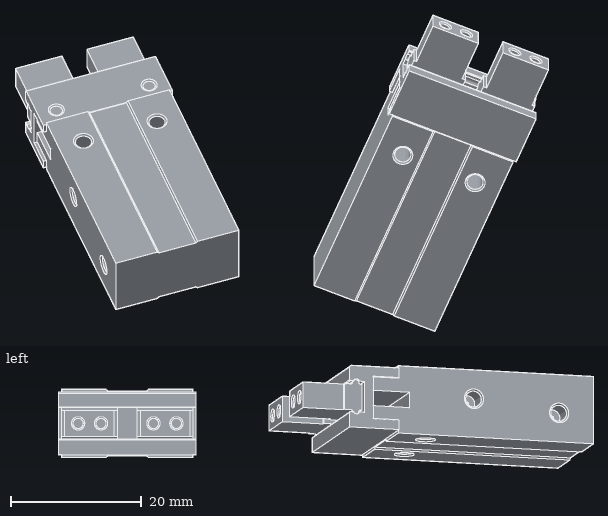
import cadquery as cq
import math


LENGTH = 46.0
BODY_FRONT = 15.0
BODY_WIDTH = 20.0
BODY_HEIGHT = 10.5

CHANNEL_HALF_WIDTH = 3.25
CHANNEL_DEPTH = 0.28

TONGUE_FRONT = 10.9
TONGUE_HEIGHT = 6.6
SLOT_END = 16.8
SLOT_HEIGHT = 2.4

GUIDE_FRONT = 7.15
GUIDE_WIDTH = 21.0
GUIDE_HEIGHT = 9.6
GUIDE_CHAMFER = 0.28
POCKET_BACK = 9.5
POCKET_HEIGHT = 4.8
LIP_CHAMFER = 0.15

BEAD_X = 8.25
BEAD_RADIUS = 0.5
BEAD_CENTER_Z = 2.2

DIMPLE_X = 12.65
DIMPLE_Y = 7.55
DIMPLE_DIAMETER = 2.45
DIMPLE_FLOOR_DIAMETER = 1.9
DIMPLE_DEPTH = 0.2

THREAD_DIAMETER = 2.5
THREAD_CHAMFER = 0.28
MOUNT_X = 20.45
MOUNT_Y = 6.0
PORTS = [(27.0, 0.75), (40.53, -0.75)]
PORT_DEPTH = 4.0
ORIFICE_DIAMETER = 0.5
ORIFICE_LENGTH = 1.85

FINGER_HEIGHT = 4.0
FINGER_INNER_Y = 2.02
FINGER_OUTER_Y = 9.55
SLIDE_INNER_Y = 1.45
SLIDE_OUTER_Y = BODY_WIDTH / 2
SLIDE_FRONT = 6.45
SLIDE_BACK = 9.2
BEAD_BLEND_RADIUS = 0.3
FINGER_HOLE_DIAMETER = 1.55
FINGER_HOLE_CHAMFER = 0.25
FINGER_HOLE_DEPTH = 4.6
FINGER_HOLE_SPACING = 3.5
FINGER_HOLE_MIDDLE_Y = 5.75


def block(x_start, x_end, y_start, y_end, height):
    """Box between two X and two Y positions, centred on Z = 0."""
    length = x_end - x_start
    width = y_end - y_start
    at_origin = cq.Workplane("XY").box(length, width, height, centered=(False, False, True))
    return at_origin.translate((x_start, y_start, 0))


def full_width_block(x_start, x_end, width, height):
    """Box between two X positions, centred on Y = 0 and Z = 0."""
    return block(x_start, x_end, -width / 2, width / 2, height)


def extrude_along_y(outline, y_start, y_end):
    """Solid from an outline on the XZ plane, reaching from y_start to y_end."""
    return outline.extrude(y_start - y_end).translate((0, y_start, 0))


def beads(y_start, y_end):
    """Upper and lower round bars along Y, shared by the fingers and the guide grooves."""
    centers = [(BEAD_X, BEAD_CENTER_Z), (BEAD_X, -BEAD_CENTER_Z)]
    outline = cq.Workplane("XZ").pushPoints(centers).circle(BEAD_RADIUS)
    return extrude_along_y(outline, y_start, y_end)


def chamfered_bore(start, direction, diameter, depth, chamfer):
    """Cutter for a round hole with a 45 degree chamfer at its mouth."""
    start = cq.Vector(*start)
    direction = cq.Vector(*direction)
    radius = diameter / 2
    bore = cq.Solid.makeCylinder(radius, depth, start, direction)
    mouth = cq.Solid.makeCone(radius + chamfer, radius, chamfer, start, direction)
    return cq.Workplane(bore.fuse(mouth))


def make_body_block():
    """Rear block with a channel along its top and bottom."""
    body = full_width_block(BODY_FRONT, LENGTH, BODY_WIDTH, BODY_HEIGHT)
    floor_half_width = CHANNEL_HALF_WIDTH - CHANNEL_DEPTH
    for side in (1, -1):
        surface = side * BODY_HEIGHT / 2
        floor = surface - side * CHANNEL_DEPTH
        channel = (
            cq.Workplane("YZ", origin=(BODY_FRONT, 0, 0))
            .moveTo(-CHANNEL_HALF_WIDTH, surface)
            .lineTo(-floor_half_width, floor)
            .lineTo(floor_half_width, floor)
            .lineTo(CHANNEL_HALF_WIDTH, surface)
            .close()
            .extrude(LENGTH - BODY_FRONT)
        )
        body = body.cut(channel)
    return body


def make_guide():
    """Cross guide with its front pocket, bead grooves and rear recess for the tongue."""
    guide = full_width_block(GUIDE_FRONT, BODY_FRONT, GUIDE_WIDTH, GUIDE_HEIGHT)
    guide = guide.faces("<X").edges(">Z").chamfer(GUIDE_CHAMFER)
    guide = guide.cut(full_width_block(TONGUE_FRONT, BODY_FRONT, GUIDE_WIDTH, TONGUE_HEIGHT))
    guide = guide.cut(full_width_block(GUIDE_FRONT, POCKET_BACK, GUIDE_WIDTH, POCKET_HEIGHT))

    for side in (1, -1):
        pocket_wall = side * POCKET_HEIGHT / 2
        lip_chamfer = cq.Workplane("XZ").polyline([
            (GUIDE_FRONT, pocket_wall),
            (GUIDE_FRONT + LIP_CHAMFER, pocket_wall),
            (GUIDE_FRONT, pocket_wall + side * LIP_CHAMFER),
        ]).close()
        guide = guide.cut(extrude_along_y(lip_chamfer, -GUIDE_WIDTH / 2, GUIDE_WIDTH / 2))
    guide = guide.cut(beads(-GUIDE_WIDTH / 2, GUIDE_WIDTH / 2))

    for y in (-DIMPLE_Y, DIMPLE_Y):
        mouth = cq.Vector(DIMPLE_X, y, GUIDE_HEIGHT / 2)
        dimple = cq.Solid.makeCone(
            DIMPLE_DIAMETER / 2, DIMPLE_FLOOR_DIAMETER / 2, DIMPLE_DEPTH, mouth, cq.Vector(0, 0, -1)
        )
        guide = guide.cut(cq.Workplane(dimple))
    return guide


def make_housing():
    """Body block, tongue and guide in one piece, with mounting holes and air ports."""
    tongue = full_width_block(TONGUE_FRONT, BODY_FRONT, BODY_WIDTH, TONGUE_HEIGHT)
    housing = make_body_block().union(tongue).union(make_guide())
    housing = housing.cut(full_width_block(TONGUE_FRONT, SLOT_END, BODY_WIDTH, SLOT_HEIGHT))

    for y in (-MOUNT_Y, MOUNT_Y):
        for side in (1, -1):
            mouth = (MOUNT_X, y, side * BODY_HEIGHT / 2)
            half_hole = chamfered_bore(mouth, (0, 0, -side), THREAD_DIAMETER, BODY_HEIGHT / 2, THREAD_CHAMFER)
            housing = housing.cut(half_hole)

    for x, z in PORTS:
        mouth = (x, -BODY_WIDTH / 2, z)
        port = chamfered_bore(mouth, (0, 1, 0), THREAD_DIAMETER, PORT_DEPTH, THREAD_CHAMFER)
        orifice = cq.Solid.makeCylinder(
            ORIFICE_DIAMETER / 2, PORT_DEPTH + ORIFICE_LENGTH, cq.Vector(*mouth), cq.Vector(0, 1, 0)
        )
        housing = housing.cut(port).cut(cq.Workplane(orifice))
    return housing


def bead_blend(side):
    """Outline of the concave fillets joining the upper (side = 1) or lower (-1) bead to the slide."""
    slide_z = FINGER_HEIGHT / 2
    blend_z = slide_z + BEAD_BLEND_RADIUS
    center_distance = BEAD_RADIUS + BEAD_BLEND_RADIUS
    half_length = math.sqrt(center_distance**2 - (blend_z - BEAD_CENTER_Z) ** 2)

    touch_x = half_length * BEAD_RADIUS / center_distance
    touch_z = BEAD_CENTER_Z + (blend_z - BEAD_CENTER_Z) * BEAD_RADIUS / center_distance

    end_angle = math.atan2(touch_z - blend_z, touch_x - half_length) % math.tau
    start_angle = 1.5 * math.pi
    middle_angle = (start_angle + end_angle) / 2
    middle_x = half_length + BEAD_BLEND_RADIUS * math.cos(middle_angle)
    middle_z = blend_z + BEAD_BLEND_RADIUS * math.sin(middle_angle)

    return (
        cq.Workplane("XZ")
        .moveTo(BEAD_X + half_length, side * slide_z)
        .threePointArc((BEAD_X + middle_x, side * middle_z), (BEAD_X + touch_x, side * touch_z))
        .lineTo(BEAD_X - touch_x, side * touch_z)
        .threePointArc((BEAD_X - middle_x, side * middle_z), (BEAD_X - half_length, side * slide_z))
        .close()
    )


def make_finger(side):
    """Finger on the +Y (side = 1) or -Y (side = -1) half, with its slide, beads, fillets and screw holes."""
    finger_start, finger_end = sorted((side * FINGER_INNER_Y, side * FINGER_OUTER_Y))
    slide_start, slide_end = sorted((side * SLIDE_INNER_Y, side * SLIDE_OUTER_Y))

    finger = block(0, SLIDE_FRONT, finger_start, finger_end, FINGER_HEIGHT)
    finger = finger.union(block(SLIDE_FRONT, SLIDE_BACK, slide_start, slide_end, FINGER_HEIGHT))

    for top_or_bottom in (1, -1):
        finger = finger.union(extrude_along_y(bead_blend(top_or_bottom), slide_start, slide_end))
    finger = finger.union(beads(slide_start, slide_end))

    for offset in (-FINGER_HOLE_SPACING / 2, FINGER_HOLE_SPACING / 2):
        mouth = (0, side * FINGER_HOLE_MIDDLE_Y + offset, 0)
        hole = chamfered_bore(mouth, (1, 0, 0), FINGER_HOLE_DIAMETER, FINGER_HOLE_DEPTH, FINGER_HOLE_CHAMFER)
        finger = finger.cut(hole)
    return finger


housing = make_housing()
fingers = [make_finger(side) for side in (1, -1)]

result = cq.Compound.makeCompound([housing.val(), *[finger.val() for finger in fingers]])